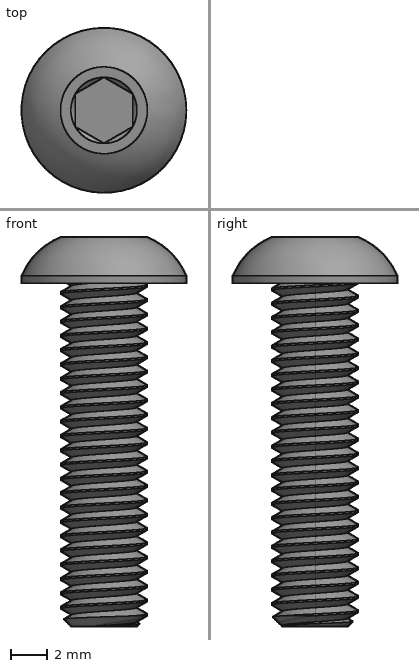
import cadquery as cq
import math

total_length = 21.62
head_diameter = 9.17
head_height = 2.57
rim_height = 0.4
shank_length = total_length - head_height
head_radius = head_diameter / 2

thread_diameter = 4.82
shank_turns = 24
pitch = shank_length / shank_turns
flank_angle = math.radians(30)
crest_flat = pitch / 8
thread_radius = thread_diameter / 2
thread_depth = (pitch - crest_flat) / 2 / math.tan(flank_angle)
root_radius = thread_radius - thread_depth
tip_radius = 1.82
first_groove_height = 0.25
spare_turns = 2
envelope_clearance = 0.22

dome_top_radius = thread_radius
dome_bulge = 0.3

socket_flats = 3.18
socket_depth = 1.8
socket_corner_diameter = socket_flats / math.cos(math.radians(30))
lead_in_angle = math.radians(45)


def make_helical_rod():
    """Right-handed threaded rod, longer than the shank, built turn by turn from ruled faces.

    Both ends are helicoids from the root to the axis, closed by a flat step one pitch high.
    """
    turn_count = shank_turns + 2 * spare_turns
    start_height = first_groove_height - (spare_turns + 1) * pitch
    end_height = start_height + turn_count * pitch
    crest_start = (pitch - crest_flat) / 2
    crest_end = (pitch + crest_flat) / 2

    def helix_turn(radius, height):
        return cq.Wire.makeHelix(pitch, pitch, radius, cq.Vector(0, 0, height)).Edges()[0]

    def end_helicoid(height):
        axis = cq.Edge.makeLine(cq.Vector(0, 0, height), cq.Vector(0, 0, height + pitch))
        return cq.Face.makeRuledSurface(axis, helix_turn(root_radius, height))

    def step_face(height):
        profile = [
            (0, height),
            (root_radius, height),
            (thread_radius, height + crest_start),
            (thread_radius, height + crest_end),
            (root_radius, height + pitch),
            (0, height + pitch),
        ]
        corners = [cq.Vector(radius, 0, z) for radius, z in profile]
        return cq.Face.makeFromWires(cq.Wire.makePolygon(corners, close=True))

    faces = []
    for height in (start_height, end_height):
        faces += [end_helicoid(height), step_face(height)]
    for turn in range(turn_count):
        root_height = start_height + turn * pitch
        edges = [
            helix_turn(root_radius, root_height),
            helix_turn(thread_radius, root_height + crest_start),
            helix_turn(thread_radius, root_height + crest_end),
            helix_turn(root_radius, root_height + pitch),
        ]
        for lower, upper in zip(edges, edges[1:]):
            faces.append(cq.Face.makeRuledSurface(lower, upper))
    return cq.Workplane(cq.Solid.makeSolid(cq.Shell.makeShell(faces)))


def make_shank():
    """Threaded rod cut to length, with a 45 degree chamfer at the tip."""
    envelope_radius = thread_radius + envelope_clearance
    envelope = cq.Workplane("XY").circle(envelope_radius).extrude(shank_length)
    envelope = envelope.faces("<Z").chamfer(envelope_radius - tip_radius)
    return make_helical_rod().intersect(envelope)


def make_head():
    """Domed head above a short cylindrical rim."""
    rim_top = shank_length + rim_height
    chord_across = head_radius - dome_top_radius
    chord_up = total_length - rim_top
    chord = math.hypot(chord_across, chord_up)
    dome_middle = (
        (head_radius + dome_top_radius) / 2 + dome_bulge * chord_up / chord,
        (rim_top + total_length) / 2 + dome_bulge * chord_across / chord,
    )
    return (
        cq.Workplane("XZ")
        .moveTo(0, shank_length)
        .lineTo(head_radius, shank_length)
        .lineTo(head_radius, rim_top)
        .threePointArc(dome_middle, (dome_top_radius, total_length))
        .lineTo(0, total_length)
        .close()
        .revolve(360, (0, 0), (0, 1))
    )


def make_socket():
    """Hexagonal recess, corners on the Y axis, with a conical mouth touching the corners."""
    hexagon = (
        cq.Workplane("XY", origin=(0, 0, total_length - socket_depth))
        .transformed(rotate=(0, 0, 90))
        .polygon(6, socket_corner_diameter)
        .extrude(socket_depth)
    )
    mouth_radius = socket_corner_diameter / 2
    mouth_inner_radius = mouth_radius / 2
    mouth_depth = (mouth_radius - mouth_inner_radius) * math.tan(lead_in_angle)
    mouth = (
        cq.Workplane("XZ")
        .moveTo(0, total_length)
        .lineTo(mouth_radius, total_length)
        .lineTo(mouth_inner_radius, total_length - mouth_depth)
        .lineTo(0, total_length - mouth_depth)
        .close()
        .revolve(360, (0, 0), (0, 1))
    )
    return hexagon.union(mouth)


result = make_shank().union(make_head().cut(make_socket()))